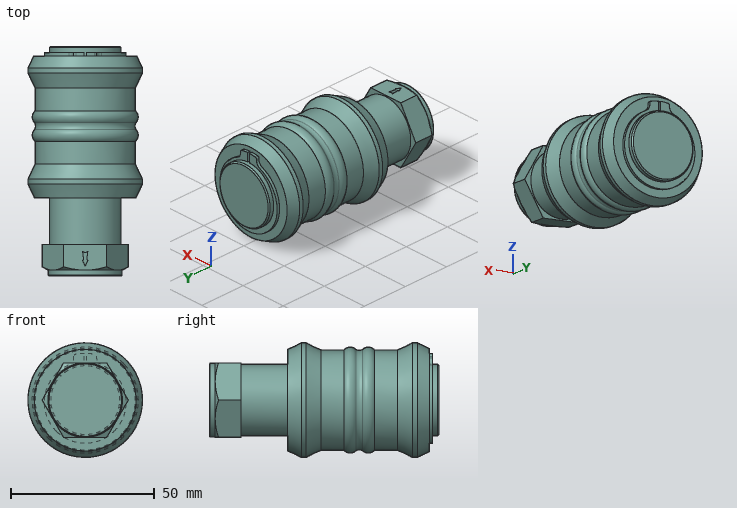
import cadquery as cq
import math

TOTAL_LENGTH = 80.0
OVERLAP = 0.5

COLLAR_RADIUS = 12.9
COLLAR_LENGTH = 2.0
COLLAR_CHAMFER = 0.25
HEX_ACROSS_FLATS = 26.0
HEX_LENGTH = 9.0
HEX_CHAMFER_ANGLE = 30.0
HEX_ACROSS_CORNERS = HEX_ACROSS_FLATS / math.cos(math.radians(30.0))
HEX_BACK_Y = COLLAR_LENGTH + HEX_LENGTH
NUT_JOINT_Y = COLLAR_LENGTH + HEX_LENGTH / 2

SHAFT_RADIUS = 12.5
SHAFT_CHAMFER = 0.5

SLEEVE_MID_Y = 52.2
BARREL_RADIUS = 17.5
RIM_RADIUS = 20.0
RIM_TAPER = math.tan(math.radians(25.5))
RIM_LAND = 1.7
RIM_START = 13.27
RIM_LAND_START = RIM_START + (RIM_RADIUS - BARREL_RADIUS) / RIM_TAPER
RIM_LAND_END = RIM_LAND_START + RIM_LAND
SLEEVE_FRONT_Y = 27.2
SLEEVE_BACK_Y = 76.6

BEAD_RADIUS = 18.5
BEAD_FOOT_RADIUS = 17.7
BEAD_WIDTH = 4.1
VALLEY_RADIUS = 17.4
VALLEY_WIDTH = 2.4

RING_THICKNESS = 1.2
RING_RADIUS = 14.25
RING_DROP = 0.8
LUG_TIP_RADIUS = 16.3
LUG_HALF_WIDTH = 4.0
LUG_CORNER_RADIUS = 0.8
LUG_ROOT_RADIUS = 2.67
RING_GAP = 0.8

ARROW_TIP_Y = 3.45
ARROW_BARB_Y = 5.3
ARROW_NECK_Y = 5.8
ARROW_NOTCH_Y = 8.1
ARROW_TAIL_Y = 8.5
ARROW_HALF_WIDTH = 0.9
ARROW_NECK_HALF_WIDTH = 0.55
ARROW_DEPTH = 0.1


def cylinder_y(radius, start, end):
    """Cylinder about the Y axis from y = start to y = end."""
    return cq.Workplane("XZ", origin=(0, start, 0)).circle(radius).extrude(start - end)


def turn(profile):
    """Turn a profile drawn in X (radius) and Y about the Y axis."""
    return profile.close().revolve(360, (0, 0, 0), (0, 1, 0))


def make_nut():
    """Hex nut with its front corners turned off, and the collar in front of it."""
    hexagon = (
        cq.Workplane("XZ", origin=(0, COLLAR_LENGTH, 0))
        .polygon(6, HEX_ACROSS_CORNERS)
        .extrude(-HEX_LENGTH)
    )
    flat_radius = HEX_ACROSS_FLATS / 2
    envelope_radius = HEX_ACROSS_CORNERS / 2 + OVERLAP
    cone_length = (envelope_radius - flat_radius) * math.tan(math.radians(HEX_CHAMFER_ANGLE))
    envelope = turn(
        cq.Workplane("XY")
        .moveTo(0, COLLAR_LENGTH)
        .lineTo(flat_radius, COLLAR_LENGTH)
        .lineTo(envelope_radius, COLLAR_LENGTH + cone_length)
        .lineTo(envelope_radius, HEX_BACK_Y)
        .lineTo(0, HEX_BACK_Y)
    )
    collar = cylinder_y(COLLAR_RADIUS, 0, NUT_JOINT_Y)
    collar = collar.faces("<Y").chamfer(COLLAR_CHAMFER)
    return hexagon.intersect(envelope).union(collar)


def make_shaft():
    """Round shaft from inside the nut to the chamfered rear end."""
    shaft = cylinder_y(SHAFT_RADIUS, NUT_JOINT_Y, TOTAL_LENGTH)
    return shaft.faces(">Y").chamfer(SHAFT_CHAMFER)


def make_sleeve():
    """Sleeve with flared rims and two rounded beads, as one turned profile."""
    mid = SLEEVE_MID_Y
    front_land_y = mid - RIM_LAND_END
    back_land_y = mid + RIM_LAND_END
    front_radius = RIM_RADIUS - (front_land_y - SLEEVE_FRONT_Y) * RIM_TAPER
    back_radius = RIM_RADIUS - (SLEEVE_BACK_Y - back_land_y) * RIM_TAPER
    valley_edge = VALLEY_WIDTH / 2
    bead_peak = valley_edge + BEAD_WIDTH / 2
    bead_edge = valley_edge + BEAD_WIDTH
    return turn(
        cq.Workplane("XY")
        .moveTo(0, SLEEVE_FRONT_Y)
        .lineTo(front_radius, SLEEVE_FRONT_Y)
        .lineTo(RIM_RADIUS, front_land_y)
        .lineTo(RIM_RADIUS, mid - RIM_LAND_START)
        .lineTo(BARREL_RADIUS, mid - RIM_START)
        .lineTo(BARREL_RADIUS, mid - bead_edge)
        .threePointArc((BEAD_RADIUS, mid - bead_peak), (BEAD_FOOT_RADIUS, mid - valley_edge))
        .threePointArc((VALLEY_RADIUS, mid), (BEAD_FOOT_RADIUS, mid + valley_edge))
        .threePointArc((BEAD_RADIUS, mid + bead_peak), (BARREL_RADIUS, mid + bead_edge))
        .lineTo(BARREL_RADIUS, mid + RIM_START)
        .lineTo(RIM_RADIUS, mid + RIM_LAND_START)
        .lineTo(RIM_RADIUS, back_land_y)
        .lineTo(back_radius, SLEEVE_BACK_Y)
        .lineTo(0, SLEEVE_BACK_Y)
    )


def make_ring():
    """Retaining ring; each lug side is a straight flank blended into the ring by a hollow arc."""
    root_x = LUG_HALF_WIDTH + LUG_ROOT_RADIUS
    root_reach = RING_RADIUS + LUG_ROOT_RADIUS
    root_z = math.sqrt(root_reach**2 - root_x**2) - RING_DROP
    foot_x = root_x * RING_RADIUS / root_reach
    foot_z = (root_z + RING_DROP) * RING_RADIUS / root_reach - RING_DROP
    foot_angle = math.atan2(foot_z - root_z, foot_x - root_x) % (2 * math.pi)
    middle_angle = (math.pi + foot_angle) / 2
    middle_x = root_x + LUG_ROOT_RADIUS * math.cos(middle_angle)
    middle_z = root_z + LUG_ROOT_RADIUS * math.sin(middle_angle)
    tip_x = LUG_HALF_WIDTH - LUG_CORNER_RADIUS
    tip_z = math.sqrt(LUG_TIP_RADIUS**2 - tip_x**2)
    corner_z = tip_z - LUG_CORNER_RADIUS
    corner_mid = LUG_CORNER_RADIUS * math.sqrt(0.5)

    ring = (
        cq.Workplane("XZ", origin=(0, SLEEVE_BACK_Y, 0))
        .moveTo(-foot_x, foot_z)
        .threePointArc((-middle_x, middle_z), (-LUG_HALF_WIDTH, root_z))
        .lineTo(-LUG_HALF_WIDTH, corner_z)
        .threePointArc((-tip_x - corner_mid, corner_z + corner_mid), (-tip_x, tip_z))
        .threePointArc((0, LUG_TIP_RADIUS), (tip_x, tip_z))
        .threePointArc((tip_x + corner_mid, corner_z + corner_mid), (LUG_HALF_WIDTH, corner_z))
        .lineTo(LUG_HALF_WIDTH, root_z)
        .threePointArc((middle_x, middle_z), (foot_x, foot_z))
        .threePointArc((0, -RING_DROP - RING_RADIUS), (-foot_x, foot_z))
        .close()
        .extrude(-RING_THICKNESS)
    )
    gap = (
        cq.Workplane("XZ", origin=(0, SLEEVE_BACK_Y, 0))
        .center(0, LUG_TIP_RADIUS)
        .rect(RING_GAP, 2 * (LUG_TIP_RADIUS - SHAFT_RADIUS + OVERLAP))
        .extrude(-RING_THICKNESS)
    )
    return ring.cut(gap)


def make_arrow():
    """Cutter for the arrow in the upper hex flat."""
    return (
        cq.Workplane("XY", origin=(0, 0, HEX_ACROSS_FLATS / 2 - ARROW_DEPTH))
        .moveTo(0, ARROW_TIP_Y)
        .lineTo(ARROW_HALF_WIDTH, ARROW_BARB_Y)
        .lineTo(ARROW_NECK_HALF_WIDTH, ARROW_NECK_Y)
        .lineTo(ARROW_HALF_WIDTH, ARROW_TAIL_Y)
        .lineTo(0, ARROW_NOTCH_Y)
        .lineTo(-ARROW_HALF_WIDTH, ARROW_TAIL_Y)
        .lineTo(-ARROW_NECK_HALF_WIDTH, ARROW_NECK_Y)
        .lineTo(-ARROW_HALF_WIDTH, ARROW_BARB_Y)
        .close()
        .extrude(2 * ARROW_DEPTH)
    )


result = make_sleeve().union(make_ring()).union(make_shaft()).union(make_nut()).cut(make_arrow())